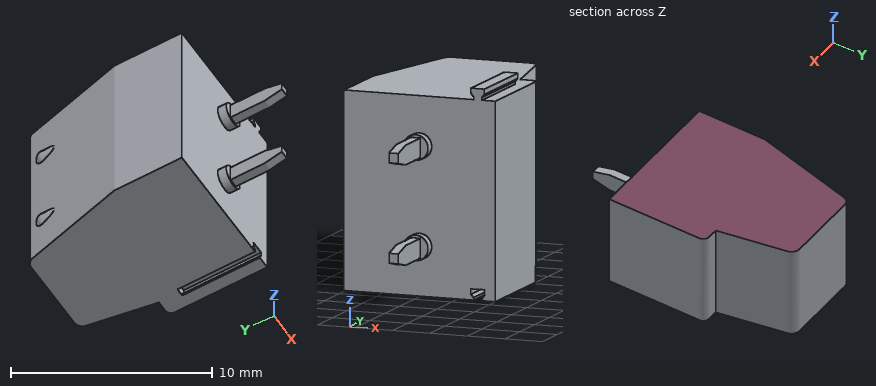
import cadquery as cq
import math


pole_count = 2
pole_pitch = 5.08
body_height = pole_count * pole_pitch
pole_heights = [(i + 0.5) * pole_pitch for i in range(pole_count)]

body_width = 8.1
body_depth = 10.0
left_wall_depth = 3.94
left_slope_angle = 14.7
step_depth = 5.75
step_corner_x = 7.16
right_slope_angle = 9.7
nose_radius = 0.5
step_radius = 0.36

dovetail_height = 0.57
dovetail_neck_height = 0.14
dovetail_head_height = 0.27
dovetail_width = 0.72
dovetail_neck_width = 0.45
dovetail_length = 4.52
dovetail_x = step_corner_x

pin_x = body_width / 2
pin_length = 3.5
pin_thickness = 0.5
pin_height = 1.0
pin_tip_height = 0.5
pin_taper_length = 1.0
collar_diameter = 1.3
collar_length = 0.5

bump_radius = 0.5
bump_x = 1.6
bump_y = 8.9


def make_body():
    left_nose_x = (body_depth - left_wall_depth) * math.tan(math.radians(left_slope_angle))
    right_nose_x = step_corner_x - (body_depth - step_depth) * math.tan(math.radians(right_slope_angle))
    outline = [
        (0, 0),
        (body_width, 0),
        (body_width, step_depth),
        (step_corner_x, step_depth),
        (right_nose_x, body_depth),
        (left_nose_x, body_depth),
        (0, left_wall_depth),
    ]
    body = cq.Workplane("XY").polyline(outline).close().extrude(body_height)
    body = body.faces(">Y").edges("|Z").fillet(nose_radius)
    step_corner = cq.selectors.NearestToPointSelector((body_width, step_depth, body_height / 2))
    return body.edges("|Z").edges(step_corner).fillet(step_radius)


def make_dovetail(base_z):
    """Bar along Y from the pin face, with a narrow neck at base_z that flares to a wider head."""
    half_neck = dovetail_neck_width / 2
    half_width = dovetail_width / 2
    top_z = base_z + dovetail_height
    neck_z = base_z + dovetail_neck_height
    head_z = top_z - dovetail_head_height
    section = [
        (dovetail_x - half_neck, base_z),
        (dovetail_x + half_neck, base_z),
        (dovetail_x + half_neck, neck_z),
        (dovetail_x + half_width, head_z),
        (dovetail_x + half_width, top_z),
        (dovetail_x - half_width, top_z),
        (dovetail_x - half_width, head_z),
        (dovetail_x - half_neck, neck_z),
    ]
    return cq.Workplane("XZ").polyline(section).close().extrude(-dovetail_length)


def make_pin(z):
    """Round collar and flat blade tapering in Z towards its tip."""
    collar = cq.Workplane("XZ").center(pin_x, z).circle(collar_diameter / 2).extrude(collar_length)
    half_height = pin_height / 2
    half_tip = pin_tip_height / 2
    taper_y = pin_taper_length - pin_length
    profile = [
        (0, z - half_height),
        (taper_y, z - half_height),
        (-pin_length, z - half_tip),
        (-pin_length, z + half_tip),
        (taper_y, z + half_height),
        (0, z + half_height),
    ]
    blade = cq.Workplane("YZ", origin=(pin_x, 0, 0)).polyline(profile).close()
    return collar.union(blade.extrude(pin_thickness / 2, both=True))


def make_bump(z):
    """Rod along Y with a spherical end, mostly sunk in the body."""
    rod_length = bump_y - left_wall_depth
    rod = cq.Workplane("XZ", origin=(bump_x, bump_y, z)).circle(bump_radius).extrude(rod_length)
    ball = cq.Workplane("XY", origin=(bump_x, bump_y, z)).sphere(bump_radius)
    return rod.union(ball)


result = make_body()
result = result.union(make_dovetail(body_height))
result = result.cut(make_dovetail(0))
for pole_z in pole_heights:
    result = result.union(make_pin(pole_z))
    result = result.union(make_bump(pole_z))